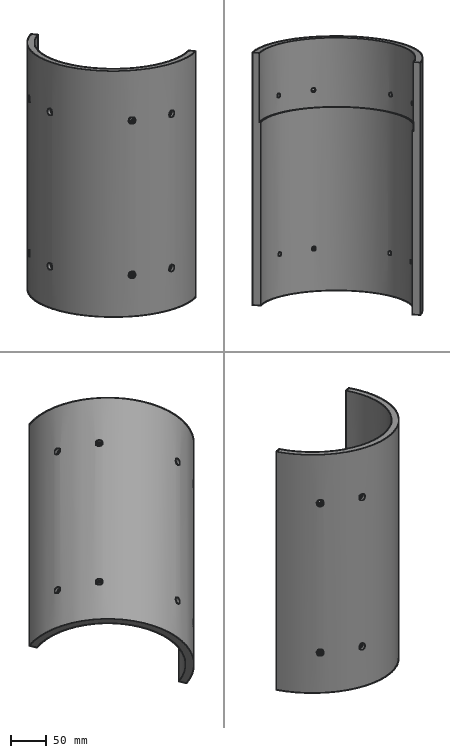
import cadquery as cq

height = 370.0
outer_radius = 122.5
rim_wall = 10.5
rim_depth = 101.0

ledge_width = 2.0
body_wall = rim_wall + ledge_width
ledge_height = height - rim_depth

hole_diameter = 6.0
bore_diameter = 10.0
bore_depth = 6.0
hole_angles = (-60, -30, 30, 60)
lower_row = 62.5
row_spacing = 232.0
hole_heights = (lower_row, lower_row + row_spacing)


def half_ring(wall, bottom, top):
    """Half ring on the -Y side with the given wall, between two heights."""
    inner_radius = outer_radius - wall
    return (
        cq.Workplane("XY", origin=(0, 0, bottom))
        .moveTo(-outer_radius, 0)
        .threePointArc((0, -outer_radius), (outer_radius, 0))
        .lineTo(inner_radius, 0)
        .threePointArc((0, -inner_radius), (-inner_radius, 0))
        .close()
        .extrude(top - bottom)
    )


def radial_cylinder(diameter, start_radius, angle, z):
    """Cylinder running outward past the wall, turned by angle from -Y."""
    end_radius = outer_radius + body_wall
    return (
        cq.Workplane("XZ", origin=(0, -start_radius, z))
        .circle(diameter / 2)
        .extrude(end_radius - start_radius)
        .rotate((0, 0, 0), (0, 0, 1), angle)
    )


def counterbored_drill(angle, z):
    """Through hole with a wider bore opening on the outer face."""
    hole = radial_cylinder(hole_diameter, 0, angle, z)
    bore = radial_cylinder(bore_diameter, outer_radius - bore_depth, angle, z)
    return hole.union(bore)


body = half_ring(body_wall, 0, ledge_height)
rim = half_ring(rim_wall, ledge_height, height)
result = body.union(rim)

for hole_height in hole_heights:
    for hole_angle in hole_angles:
        result = result.cut(counterbored_drill(hole_angle, hole_height))